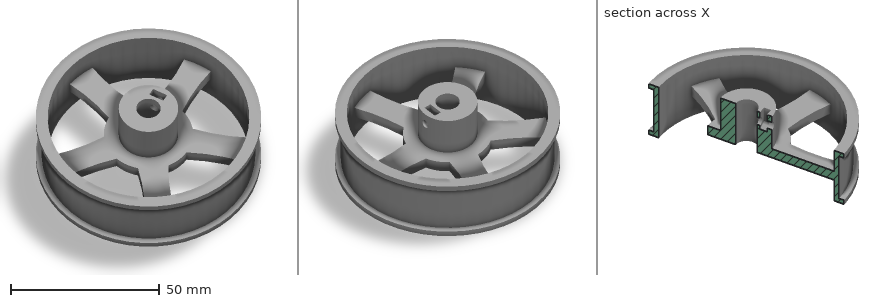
import cadquery as cq
import math

outer_radius = 38.0
tread_radius = 36.0
rim_inner_radius = 33.95
rim_height = 22.0
flange_thickness = 2.0

total_height = 27.0
hub_radius = 10.0
bore_radius = 4.1
web_radius = 15.0
web_thickness = 4.0
web_bottom = (rim_height - web_thickness) / 2

spoke_count = 5
spoke_end_half_width = 5.2
spoke_waist_half_width = 4.5
spoke_root = math.sqrt(web_radius**2 - spoke_end_half_width**2)
spoke_tip = math.sqrt(rim_inner_radius**2 - spoke_end_half_width**2)
spoke_middle = (spoke_root + spoke_tip) / 2
spoke_overlap = 0.75

nut_width = 5.4
nut_thickness = 2.65
nut_near_face = 5.3
screw_radius = 1.5
screw_height = total_height - 4.25
nut_side_half_height = nut_width / 2 * math.tan(math.radians(30))
nut_point_depth = 2 * nut_side_half_height


def disc(radius, bottom, height):
    return cq.Workplane("XY").workplane(offset=bottom).circle(radius).extrude(height)


def make_rim():
    rim = disc(tread_radius, 0, rim_height)
    for bottom in (0, rim_height - flange_thickness):
        rim = rim.union(disc(outer_radius, bottom, flange_thickness))
    return rim.cut(disc(rim_inner_radius, 0, rim_height))


def make_spoke():
    end = spoke_end_half_width
    waist = spoke_waist_half_width
    return (
        cq.Workplane("XY")
        .workplane(offset=web_bottom)
        .moveTo(-end, 0)
        .lineTo(-end, spoke_root)
        .threePointArc((-waist, spoke_middle), (-end, spoke_tip))
        .lineTo(-end, spoke_tip + spoke_overlap)
        .lineTo(end, spoke_tip + spoke_overlap)
        .lineTo(end, spoke_tip)
        .threePointArc((waist, spoke_middle), (end, spoke_root))
        .lineTo(end, 0)
        .close()
        .extrude(web_thickness)
    )


def make_nut_trap():
    """Slot open at the hub top, ending in the lower point of a hexagon."""
    half_width = nut_width / 2
    side_bottom = screw_height - nut_side_half_height
    return (
        cq.Workplane("XZ", origin=(0, nut_near_face, 0))
        .polyline([
            (-half_width, total_height),
            (-half_width, side_bottom),
            (0, screw_height - nut_point_depth),
            (half_width, side_bottom),
            (half_width, total_height),
        ])
        .close()
        .extrude(-nut_thickness)
    )


def make_screw_hole():
    """Radial hole from the bore out through the +Y side of the hub."""
    return (
        cq.Workplane("XZ", origin=(0, 0, screw_height))
        .circle(screw_radius)
        .extrude(-(hub_radius + 0.75))
    )


result = make_rim().union(disc(web_radius, web_bottom, web_thickness))
for index in range(spoke_count):
    angle = index * 360 / spoke_count
    result = result.union(make_spoke().rotate((0, 0, 0), (0, 0, 1), angle))
result = result.union(disc(hub_radius, web_bottom, total_height - web_bottom))
result = result.cut(disc(bore_radius, 0, total_height))
result = result.cut(make_nut_trap()).cut(make_screw_hole())